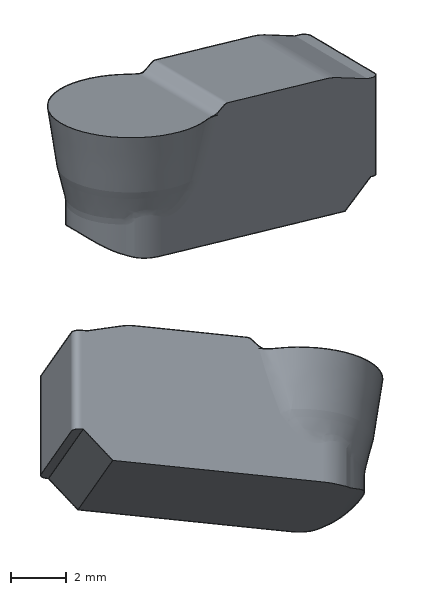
import cadquery as cq

body_width = 4.8
half_width = body_width / 2
head_radius = 3.0
total_length = 12.0
back_y = total_length - head_radius
head_top_z = 4.92
body_top_z = 5.3

neck_front_y = -2.34
flank_end_y = -0.26
flank_mid = (2.33, -0.75)
flank_end = (2.1, -1.2)
nose_start = (1.88, -1.42)
back_corner_radius = 0.3

ledge_y = 8.64
ledge_z = 1.09
chamfer_front_y = ledge_y - ledge_z
upturn_start_y = -0.72
upturn_radius = 2.48

band_top_z = 2.65
band_top_radius = 2.66
band_bottom_z = 2.38
band_bottom_radius = 2.59
head_bottom_z = 0.6
head_bottom_radius = 2.16
seam_radius = 1.0

rear_slope_foot_y = 8.5
rear_slope_top_y = 6.98
rear_slope_round = 1.92
step_top_y = 2.48
step_foot_y = 2.03
step_top_round = 0.26
step_foot_round = 0.48
step_shelf_y = 1.48
overlap = 0.36


def make_body():
    """Plan outline of the body, trimmed at the underside."""
    body = (
        cq.Workplane("XY")
        .moveTo(half_width, back_y)
        .lineTo(half_width, flank_end_y)
        .threePointArc(flank_mid, flank_end)
        .lineTo(*nose_start)
        .threePointArc((0, neck_front_y), (-nose_start[0], nose_start[1]))
        .lineTo(-flank_end[0], flank_end[1])
        .threePointArc((-flank_mid[0], flank_mid[1]), (-half_width, flank_end_y))
        .lineTo(-half_width, back_y)
        .close()
        .extrude(head_top_z)
        .edges("|Z and >Y")
        .fillet(back_corner_radius)
    )
    rear_chamfer = (
        cq.Workplane("YZ")
        .polyline([(chamfer_front_y, 0), (ledge_y, ledge_z), (back_y, ledge_z), (back_y, 0)])
        .close()
        .extrude(half_width, both=True)
    )
    upturn_corner_y = upturn_start_y - upturn_radius
    front_upturn = (
        cq.Workplane("YZ")
        .rect(upturn_radius, upturn_radius, centered=False)
        .extrude(half_width, both=True)
        .translate((0, upturn_corner_y, 0))
        .cut(
            cq.Workplane("YZ")
            .center(upturn_start_y, upturn_radius)
            .circle(upturn_radius)
            .extrude(half_width, both=True)
        )
    )
    return body.cut(rear_chamfer).cut(front_upturn)


def make_head():
    """Round head that narrows downward in three cones."""
    return (
        cq.Workplane("XZ")
        .polyline(
            [
                (0, head_bottom_z),
                (head_bottom_radius, head_bottom_z),
                (band_bottom_radius, band_bottom_z),
                (band_top_radius, band_top_z),
                (head_radius, head_top_z),
                (0, head_top_z),
            ]
        )
        .close()
        .revolve(360, (0, 0, 0), (0, 1, 0))
    )


def make_raised_top():
    """Hump above the head level, with a sloped rear and a stepped front."""
    floor_z = head_top_z - overlap
    hump = (
        cq.Workplane("YZ")
        .polyline(
            [
                (step_shelf_y, floor_z),
                (step_shelf_y, head_top_z),
                (step_foot_y, head_top_z),
                (step_top_y, body_top_z),
                (rear_slope_top_y, body_top_z),
                (rear_slope_foot_y, head_top_z),
                (rear_slope_foot_y, floor_z),
            ]
        )
        .close()
        .extrude(half_width, both=True)
    )

    def round_ridge(solid, y, z, radius):
        ridge = cq.selectors.NearestToPointSelector((0, y, z))
        return solid.edges(ridge).fillet(radius)

    hump = round_ridge(hump, step_foot_y, head_top_z, step_foot_round)
    hump = round_ridge(hump, step_top_y, body_top_z, step_top_round)
    return round_ridge(hump, rear_slope_top_y, body_top_z, rear_slope_round)


def is_on_seam(edge, body, head):
    """True for an edge that lies on the outside of both the body and the head."""
    middle = edge.positionAt(0.5)
    point = cq.Vertex.makeVertex(*middle.toTuple())
    tolerance = 0.0001
    return all(min(face.distance(point) for face in solid.faces().vals()) < tolerance
               for solid in (body, head))


body = make_body()
head = make_head()
joined = body.union(head)
seam = [
    edge
    for edge in joined.edges().vals()
    if edge.BoundingBox().zmin < head_top_z - overlap and is_on_seam(edge, body, head)
]
result = joined.newObject(seam).fillet(seam_radius).union(make_raised_top())